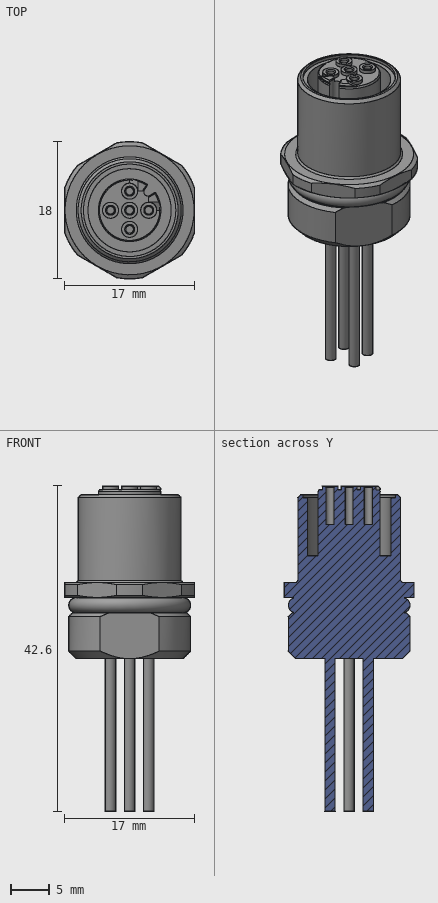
import cadquery as cq
import math


SLEEVE_RADIUS = 6.75
SLEEVE_TOP = 13.5
SLEEVE_CHAMFER = 0.4
SLEEVE_FOOT_FLARE = 0.25
SEAT_RADIUS = 6.05
SEAT_DEPTH = 0.4
BORE_RADIUS = 5.45
BORE_DEPTH = 8.0
BORE_FLOOR = SLEEVE_TOP - BORE_DEPTH

HEXAGON_SIDES = 6
FLANGE_ACROSS_FLATS = 17.0
FLANGE_CORNER_RADIUS = 9.0
FLANGE_THICKNESS = 2.0
FLANGE_CHAMFER_WIDTH = 0.55
FLANGE_CHAMFER_HEIGHT = 0.3

RING_CENTER_RADIUS = 7.0
RING_SECTION_RADIUS = 1.0
GROOVE_FLOOR_RADIUS = 7.2

BODY_RADIUS = 8.0
BODY_TOP = -2 * RING_SECTION_RADIUS
BODY_BOTTOM = -8.0
BODY_ACROSS_FLATS = 14.0
BODY_TOP_CHAMFER = 0.5
BODY_BOTTOM_CHAMFER = 1.0

INSERT_RADIUS = 4.1
INSERT_TOP = 14.15
INSERT_CHAMFER_WIDTH = 0.15
INSERT_CHAMFER_HEIGHT = 0.25

CONTACT_PITCH_RADIUS = 2.5
COLLAR_RADIUS = 1.05
COLLAR_HEIGHT = 0.45
CONTACT_HOLE_RADIUS = 0.5
CONTACT_HOLE_BEVEL = 0.15
CONTACT_HOLE_DEPTH = 5.0
LEAD_RADIUS = 0.7
LEAD_LENGTH = 20.0

LAND_SIDE = 1.1
LAND_INNER = 2.5
RAMP_START = 0.0
KEYWAY_ANGLE = 45.0
KEYWAY_RADIUS = 0.55
KEYWAY_CENTER = 3.4
KEYWAY_MOUTH_HALF_WIDTH = 0.75
KEYWAY_MOUTH = 4.2
KEYWAY_BEVEL = 0.12
BEVEL_ANGLE = 45.0

CONTACT_TOP = INSERT_TOP + COLLAR_HEIGHT
OUTER_CONTACTS = [
    (CONTACT_PITCH_RADIUS, 0),
    (0, CONTACT_PITCH_RADIUS),
    (-CONTACT_PITCH_RADIUS, 0),
    (0, -CONTACT_PITCH_RADIUS),
]
ALL_CONTACTS = [(0, 0)] + OUTER_CONTACTS


def cylinder(radius, bottom, top, places):
    """Upright cylinders of one size at the given XY places."""
    plane = cq.Workplane("XY").workplane(offset=bottom)
    return plane.pushPoints(places).circle(radius).extrude(top - bottom)


def revolve(profile):
    """Turn a closed radius-height profile about the Z axis."""
    return profile.close().revolve(360, (0, 0, 0), (0, 1, 0))


def make_sleeve():
    foot = FLANGE_THICKNESS
    profile = (
        cq.Workplane("XZ")
        .moveTo(0, foot)
        .lineTo(SLEEVE_RADIUS + SLEEVE_FOOT_FLARE, foot)
        .lineTo(SLEEVE_RADIUS, foot + SLEEVE_FOOT_FLARE)
        .lineTo(SLEEVE_RADIUS, SLEEVE_TOP - SLEEVE_CHAMFER)
        .lineTo(SLEEVE_RADIUS - SLEEVE_CHAMFER, SLEEVE_TOP)
        .lineTo(SEAT_RADIUS, SLEEVE_TOP)
        .lineTo(SEAT_RADIUS, SLEEVE_TOP - SEAT_DEPTH)
        .lineTo(BORE_RADIUS, SLEEVE_TOP - SEAT_DEPTH)
        .lineTo(BORE_RADIUS, BORE_FLOOR)
        .lineTo(0, BORE_FLOOR)
    )
    return revolve(profile)


def make_flange():
    rim = FLANGE_CORNER_RADIUS - FLANGE_CHAMFER_WIDTH
    profile = (
        cq.Workplane("XZ")
        .lineTo(rim, 0)
        .lineTo(FLANGE_CORNER_RADIUS, FLANGE_CHAMFER_HEIGHT)
        .lineTo(FLANGE_CORNER_RADIUS, FLANGE_THICKNESS - FLANGE_CHAMFER_HEIGHT)
        .lineTo(rim, FLANGE_THICKNESS)
        .lineTo(0, FLANGE_THICKNESS)
    )
    across_corners = FLANGE_ACROSS_FLATS / math.cos(math.pi / HEXAGON_SIDES)
    half_side_angle = 180 / HEXAGON_SIDES
    hexagon = (
        cq.Workplane("XY")
        .transformed(rotate=(0, 0, half_side_angle))
        .polygon(HEXAGON_SIDES, across_corners)
        .extrude(FLANGE_THICKNESS)
    )
    return revolve(profile).intersect(hexagon)


def make_sealing_ring():
    """Visible outer part of the sealing ring, on the groove floor."""
    reach = GROOVE_FLOOR_RADIUS - RING_CENTER_RADIUS
    half_height = math.sqrt(RING_SECTION_RADIUS**2 - reach**2)
    middle = -RING_SECTION_RADIUS
    profile = (
        cq.Workplane("XZ")
        .lineTo(GROOVE_FLOOR_RADIUS, 0)
        .lineTo(GROOVE_FLOOR_RADIUS, middle + half_height)
        .threePointArc(
            (RING_CENTER_RADIUS + RING_SECTION_RADIUS, middle),
            (GROOVE_FLOOR_RADIUS, middle - half_height),
        )
        .lineTo(GROOVE_FLOOR_RADIUS, BODY_TOP)
        .lineTo(0, BODY_TOP)
    )
    return revolve(profile)


def make_lower_body():
    profile = (
        cq.Workplane("XZ")
        .moveTo(0, BODY_TOP)
        .lineTo(BODY_RADIUS - BODY_TOP_CHAMFER, BODY_TOP)
        .lineTo(BODY_RADIUS, BODY_TOP - BODY_TOP_CHAMFER)
        .lineTo(BODY_RADIUS, BODY_BOTTOM + BODY_BOTTOM_CHAMFER)
        .lineTo(BODY_RADIUS - BODY_BOTTOM_CHAMFER, BODY_BOTTOM)
        .lineTo(0, BODY_BOTTOM)
    )
    between_flats = (
        cq.Workplane("XY")
        .workplane(offset=BODY_BOTTOM)
        .rect(2 * BODY_RADIUS, BODY_ACROSS_FLATS)
        .extrude(BODY_TOP - BODY_BOTTOM)
    )
    return revolve(profile).intersect(between_flats)


def chamfered_post(top):
    """Insert-sized round post from the bore floor, bevelled at its top edge."""
    profile = (
        cq.Workplane("XZ")
        .moveTo(0, BORE_FLOOR)
        .lineTo(INSERT_RADIUS, BORE_FLOOR)
        .lineTo(INSERT_RADIUS, top - INSERT_CHAMFER_HEIGHT)
        .lineTo(INSERT_RADIUS - INSERT_CHAMFER_WIDTH, top)
        .lineTo(0, top)
    )
    return revolve(profile)


def make_land_arm():
    """Land beside the +Y contact: flat for x > LAND_SIDE, ramping down to the insert face at x = 0."""
    width = INSERT_RADIUS - LAND_INNER
    return (
        cq.Workplane("XZ", origin=(0, INSERT_RADIUS, 0))
        .moveTo(RAMP_START, INSERT_TOP)
        .lineTo(LAND_SIDE, CONTACT_TOP)
        .lineTo(LAND_INNER, CONTACT_TOP)
        .lineTo(LAND_INNER, INSERT_TOP)
        .close()
        .extrude(width)
    )


def make_land():
    arm = make_land_arm()
    mirrored_arm = arm.mirror("YZ").rotate((0, 0, 0), (0, 0, 1), -90)
    corner_size = INSERT_RADIUS - LAND_INNER
    corner = (
        cq.Workplane("XY")
        .box(corner_size, corner_size, COLLAR_HEIGHT, centered=False)
        .translate((LAND_INNER, LAND_INNER, INSERT_TOP))
    )
    return arm.union(mirrored_arm).union(corner).intersect(chamfered_post(CONTACT_TOP))


def keyway_outline(widening, height):
    """Outline, at the given height, of a round-ended slot along +X that flares toward the rim."""
    end_radius = KEYWAY_RADIUS + widening
    mouth_half_width = KEYWAY_MOUTH_HALF_WIDTH + widening
    return (
        cq.Workplane("XY")
        .workplane(offset=height)
        .moveTo(KEYWAY_CENTER, end_radius)
        .threePointArc((KEYWAY_CENTER - end_radius, 0), (KEYWAY_CENTER, -end_radius))
        .lineTo(KEYWAY_MOUTH, -mouth_half_width)
        .lineTo(KEYWAY_MOUTH, mouth_half_width)
        .close()
    )


def make_keyway():
    """Keyway cut down to the bore floor, with bevelled edges at the land top."""
    slot = keyway_outline(0, BORE_FLOOR).extrude(CONTACT_TOP - BORE_FLOOR)
    bevel = keyway_outline(KEYWAY_BEVEL, CONTACT_TOP).extrude(-KEYWAY_BEVEL, taper=BEVEL_ANGLE)
    return slot.union(bevel).rotate((0, 0, 0), (0, 0, 1), KEYWAY_ANGLE)


def make_contact_hole(place):
    """Blind contact hole with a bevelled entry."""
    entry_radius = CONTACT_HOLE_RADIUS + CONTACT_HOLE_BEVEL
    profile = (
        cq.Workplane("XZ")
        .moveTo(0, CONTACT_TOP)
        .lineTo(entry_radius, CONTACT_TOP)
        .lineTo(CONTACT_HOLE_RADIUS, CONTACT_TOP - CONTACT_HOLE_BEVEL)
        .lineTo(CONTACT_HOLE_RADIUS, CONTACT_TOP - CONTACT_HOLE_DEPTH)
        .lineTo(0, CONTACT_TOP - CONTACT_HOLE_DEPTH)
    )
    return revolve(profile).translate((*place, 0))


def make_insert():
    insert = chamfered_post(INSERT_TOP).union(make_land())
    insert = insert.cut(make_keyway())
    insert = insert.union(cylinder(COLLAR_RADIUS, INSERT_TOP - COLLAR_HEIGHT, CONTACT_TOP, ALL_CONTACTS))
    for place in ALL_CONTACTS:
        insert = insert.cut(make_contact_hole(place))
    return insert


def make_leads():
    return cylinder(LEAD_RADIUS, BODY_BOTTOM - LEAD_LENGTH, BODY_BOTTOM, OUTER_CONTACTS)


result = (
    make_lower_body()
    .union(make_sealing_ring())
    .union(make_flange())
    .union(make_sleeve())
    .union(make_insert())
    .union(make_leads())
)